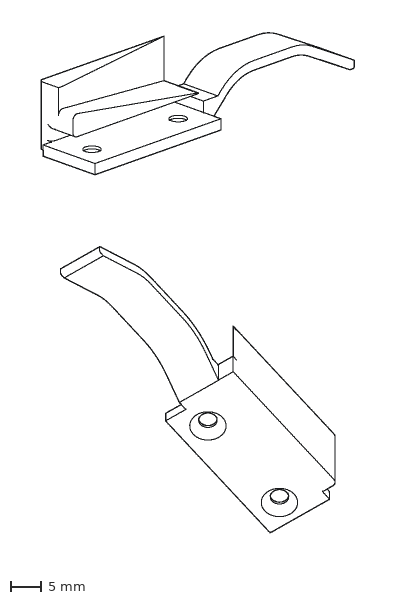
import cadquery as cq
import math

total_length = 64.35
total_width = 15.1
total_height = 12.0
channel_side_x = 3.0

plate_length = 29.3
plate_thickness = 2.0
hole_diameter = 3.0
countersink_diameter = 6.0
countersink_angle = 90.0
hole_x = 10.1
first_hole_y = 4.3
hole_pitch = 20.0

housing_front_y = 2.0
housing_back_y = 31.15
housing_width = 8.0
channel_roof_z = 4.0
roof_front_z = 8.2
roof_back_z = 4.1
wall_front_width = 4.65
edge_radius = 0.95

lever_width = 8.0
lever_thickness = 1.75
lever_top_z = 8.0
flat_start_y = 41.0
flat_end_y = 49.9
root_bend_radius = 10.55
root_angle = 45.0
tip_bend_radius = 10.05
tip_angle = 27.4
tip_bottom_z = 0.3
tip_radius = 0.4
tip_top_radius = 0.2


def box(x_min, x_max, y_min, y_max, z_min, z_max):
    """Axis-aligned box given by its limits."""
    size = (x_max - x_min, y_max - y_min, z_max - z_min)
    return cq.Workplane("XY").box(*size, centered=False).translate((x_min, y_min, z_min))


def make_plate():
    plate = box(channel_side_x, total_width, 0, plate_length, 0, plate_thickness)
    hole_places = [(hole_x, first_hole_y + i * hole_pitch) for i in range(2)]
    return (
        plate.faces("<Z")
        .workplane(origin=(0, 0, 0))
        .pushPoints([(x, -y) for x, y in hole_places])
        .cskHole(hole_diameter, countersink_diameter, countersink_angle)
    )


def make_housing():
    body = (
        cq.Workplane("YZ")
        .moveTo(housing_front_y, 0)
        .lineTo(housing_front_y, roof_front_z)
        .lineTo(housing_back_y, roof_back_z)
        .lineTo(housing_back_y, 0)
        .close()
        .extrude(housing_width)
    )
    body = body.faces("<Y").edges(">Z").fillet(edge_radius)
    channel = box(
        channel_side_x, housing_width, housing_front_y, housing_back_y, 0, channel_roof_z
    )
    body = body.cut(channel)

    taper_start_y = housing_front_y + edge_radius
    wall = (
        cq.Workplane("XY")
        .moveTo(0, housing_front_y)
        .lineTo(wall_front_width, housing_front_y)
        .lineTo(wall_front_width, taper_start_y)
        .lineTo(0, housing_back_y)
        .close()
        .extrude(total_height)
    )
    body = body.union(wall).cut(channel)

    outer_corner = cq.selectors.NearestToPointSelector((0, housing_front_y, total_height / 2))
    body = body.edges(outer_corner).fillet(edge_radius)
    return body.cut(make_channel_mouth())


def make_channel_mouth():
    """Flare that rounds the side and roof edges where the channel opens at the front."""
    inner_y = housing_front_y + edge_radius
    mouth = box(
        channel_side_x - edge_radius, housing_width,
        housing_front_y, inner_y,
        plate_thickness, channel_roof_z + edge_radius,
    )
    side_round = (
        cq.Workplane("XY", origin=(0, 0, plate_thickness))
        .center(channel_side_x - edge_radius, inner_y)
        .circle(edge_radius)
        .extrude(total_height)
    )
    roof_round = (
        cq.Workplane("YZ")
        .center(inner_y, channel_roof_z + edge_radius)
        .circle(edge_radius)
        .extrude(housing_width)
    )
    return mouth.cut(side_round).cut(roof_round)


def on_bend(center_y, center_z, radius, angle):
    """Point on a bend, with the angle in degrees from straight up toward +Y."""
    turn = math.radians(angle)
    return (center_y + radius * math.sin(turn), center_z + radius * math.cos(turn))


def make_lever():
    root_center = (flat_start_y, lever_top_z - root_bend_radius)
    tip_center = (flat_end_y, lever_top_z - tip_bend_radius)
    root_inner = root_bend_radius - lever_thickness
    tip_inner = tip_bend_radius - lever_thickness
    flat_bottom_z = lever_top_z - lever_thickness

    root_top = on_bend(*root_center, root_bend_radius, -root_angle)
    root_bottom = on_bend(*root_center, root_inner, -root_angle)
    tip_top = on_bend(*tip_center, tip_bend_radius, tip_angle)
    tip_bottom = on_bend(*tip_center, tip_inner, tip_angle)

    root_slope = math.tan(math.radians(root_angle))
    tip_slope = math.tan(math.radians(tip_angle))
    root_heel_y = root_bottom[0] - root_bottom[1] / root_slope
    root_step_y = root_top[0] - (root_top[1] - channel_roof_z) / root_slope
    tip_end_z = tip_top[1] - (total_length - tip_top[0]) * tip_slope
    tip_toe_y = tip_bottom[0] + (tip_bottom[1] - tip_bottom_z) / tip_slope

    lever = (
        cq.Workplane("YZ", origin=(channel_side_x, 0, 0))
        .moveTo(plate_length, 0)
        .lineTo(plate_length, channel_roof_z)
        .lineTo(root_step_y, channel_roof_z)
        .lineTo(*root_top)
        .threePointArc(
            on_bend(*root_center, root_bend_radius, -root_angle / 2),
            (flat_start_y, lever_top_z),
        )
        .lineTo(flat_end_y, lever_top_z)
        .threePointArc(on_bend(*tip_center, tip_bend_radius, tip_angle / 2), tip_top)
        .lineTo(total_length, tip_end_z)
        .lineTo(total_length, tip_bottom_z)
        .lineTo(tip_toe_y, tip_bottom_z)
        .lineTo(*tip_bottom)
        .threePointArc(
            on_bend(*tip_center, tip_inner, tip_angle / 2),
            (flat_end_y, flat_bottom_z),
        )
        .lineTo(flat_start_y, flat_bottom_z)
        .threePointArc(on_bend(*root_center, root_inner, -root_angle / 2), root_bottom)
        .lineTo(root_heel_y, 0)
        .close()
        .extrude(lever_width)
    )
    lever_middle_x = channel_side_x + lever_width / 2
    tip_lower_corner = cq.selectors.NearestToPointSelector(
        (lever_middle_x, total_length, tip_bottom_z)
    )
    tip_upper_corner = cq.selectors.NearestToPointSelector(
        (lever_middle_x, total_length, tip_end_z)
    )
    lever = lever.edges(tip_lower_corner).fillet(tip_radius)
    return lever.edges(tip_upper_corner).fillet(tip_top_radius)


result = make_housing().union(make_plate()).union(make_lever())